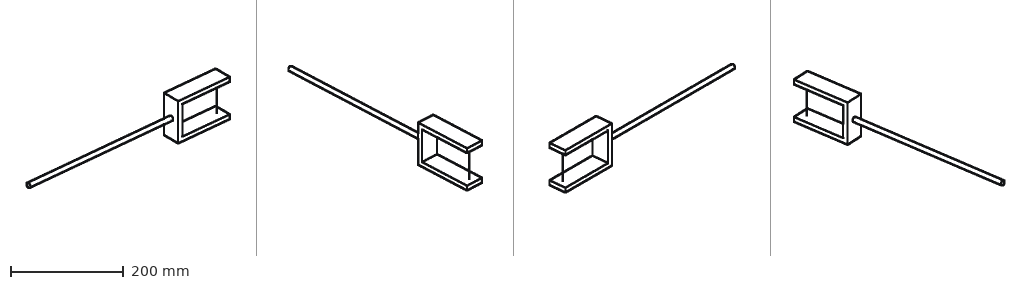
import cadquery as cq

total_length = 464.0
yoke_length = 123.5
yoke_width = 38.0
yoke_height = 88.0
wall = 10.0
rod_diameter = 10.0
wire_diameter = 1.0
wire_inset = 14.0

rod_length = total_length - yoke_length
opening_height = yoke_height - 2 * wall


def make_yoke():
    """U-shaped bracket, open toward +Y."""
    block = cq.Workplane("XY").box(
        yoke_width, yoke_length, yoke_height, centered=(True, False, True)
    )
    opening = (
        cq.Workplane("XY")
        .box(yoke_width, yoke_length - wall, opening_height, centered=(True, False, True))
        .translate((0, wall, 0))
    )
    return block.cut(opening)


def make_rod():
    """Round handle running from inside the web toward -Y."""
    return (
        cq.Workplane("XZ", origin=(0, wall / 2, 0))
        .circle(rod_diameter / 2)
        .extrude(rod_length + wall / 2)
    )


def make_wire():
    """Thin wire between the arms, its ends embedded in them."""
    return (
        cq.Workplane("XY", origin=(0, yoke_length - wire_inset, 0))
        .circle(wire_diameter / 2)
        .extrude((opening_height + wall) / 2, both=True)
    )


result = make_yoke().union(make_rod()).union(make_wire())